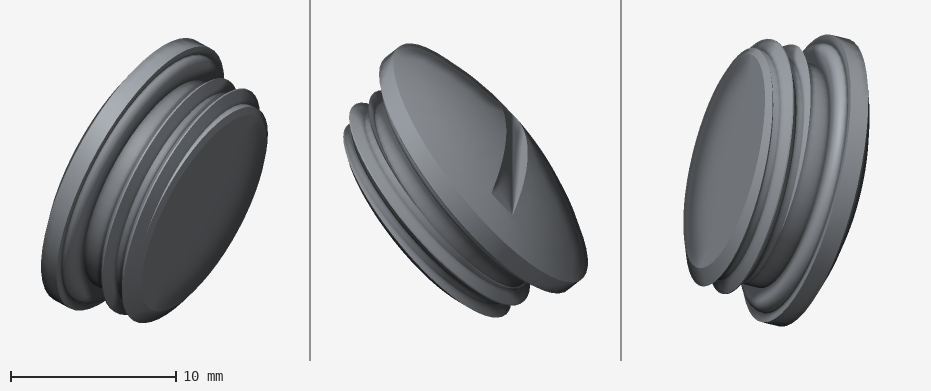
import cadquery as cq
import math


head_radius = 8.96
rim_thickness = 1.15
dome_height = 2.15
slot_width = 1.97
slot_floor_height = 0.91

shank_radius = 6.984
thread_start = 2.06
end_x = 4.68
core_radius = 7.1
end_radius = 6.67
end_cone_slope = 2.0

pitch = 1.5
crest_radius = 7.85
crest_width = 0.09
root_width = 1.04
thread_overlap = 0.07
crest_x = 2.2
ridge_turns = 4
trim_margin = 0.18

ring_outer_radius = 8.41
ring_thickness = 0.65


def revolve_about_x(profile):
    return profile.close().revolve(360, (0, 0, 0), (1, 0, 0))


def make_head():
    rim_x = -rim_thickness
    apex_x = rim_x - dome_height
    dome_radius = (head_radius**2 + dome_height**2) / (2 * dome_height)
    half_angle = math.asin(head_radius / dome_radius) / 2
    dome_middle = (
        apex_x + dome_radius * (1 - math.cos(half_angle)),
        dome_radius * math.sin(half_angle),
    )
    head = revolve_about_x(
        cq.Workplane("XY")
        .moveTo(apex_x, 0)
        .threePointArc(dome_middle, (rim_x, head_radius))
        .lineTo(0, head_radius)
        .lineTo(0, 0)
    )
    slot_floor_x = rim_x - slot_floor_height
    slot = (
        cq.Workplane("XY")
        .box(dome_height, slot_width, 2 * head_radius)
        .translate((slot_floor_x - dome_height / 2, 0, 0))
    )
    return head.cut(slot)


def make_thread_ridge():
    """Helical ridge that runs past both ends of the thread."""
    flank_slope = (root_width - crest_width) / 2 / (crest_radius - core_radius)
    base_radius = core_radius - thread_overlap
    half_base = root_width / 2 + thread_overlap * flank_slope
    half_crest = crest_width / 2
    helix = cq.Wire.makeHelix(pitch, ridge_turns * pitch, core_radius)
    ridge = (
        cq.Workplane("XZ")
        .polyline([
            (base_radius, -half_base),
            (crest_radius, -half_crest),
            (crest_radius, half_crest),
            (base_radius, half_base),
        ])
        .close()
        .sweep(cq.Workplane(helix), isFrenet=True)
    )
    return (
        ridge.rotate((0, 0, 0), (0, 1, 0), 90)
        .rotate((0, 0, 0), (1, 0, 0), 180)
        .translate((crest_x - pitch, 0, 0))
    )


def make_threaded_end():
    """Core and ridge, trimmed together to the thread length and the end cone."""
    core_length = end_x + pitch
    core = cq.Workplane("YZ").circle(core_radius).extrude(core_length)
    outer_radius = crest_radius + trim_margin
    cone_x = end_x - (outer_radius - end_radius) / end_cone_slope
    envelope = revolve_about_x(
        cq.Workplane("XY")
        .moveTo(thread_start, 0)
        .lineTo(thread_start, outer_radius)
        .lineTo(cone_x, outer_radius)
        .lineTo(end_x, end_radius)
        .lineTo(end_x, 0)
    )
    return core.union(make_thread_ridge()).intersect(envelope)


def make_sealing_ring():
    """Ring seated on the shank and the head, with its outer edge fully rounded."""
    flat_radius = ring_outer_radius - ring_thickness
    arc_offset = ring_thickness * math.sqrt(0.5)
    return revolve_about_x(
        cq.Workplane("XY")
        .moveTo(0, shank_radius)
        .lineTo(0, ring_outer_radius)
        .threePointArc((arc_offset, flat_radius + arc_offset), (ring_thickness, flat_radius))
        .lineTo(ring_thickness, shank_radius)
    )


def make_plug():
    shank = cq.Workplane("YZ").circle(shank_radius).extrude(thread_start)
    return make_head().union(shank).union(make_threaded_end())


plug = make_plug()
sealing_ring = make_sealing_ring()

result = cq.Compound.makeCompound([plug.solids().val(), sealing_ring.val()])